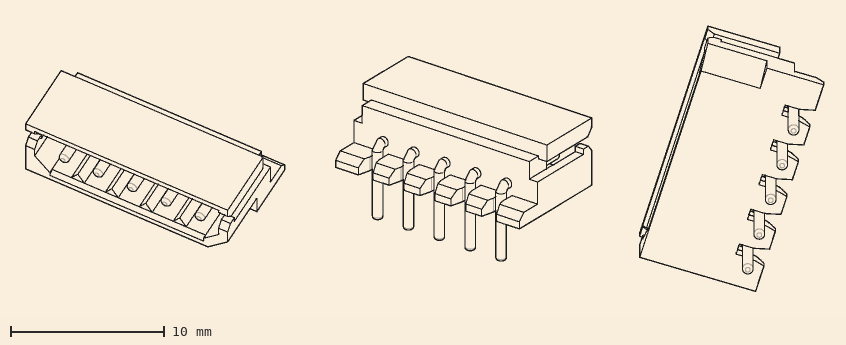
import cadquery as cq
import math


length = 14.9
depth = 7.9
wall_rear_y = 5.92
wall_front_y = 4.02
end_wall = 0.67
end_wall_height = 2.62
neck_height = 3.9
ledge_height = 1.01
ledge_chamfer = 0.49
key_chamfer = 1.46

floor_height = 0.73
cavity_bevel_width = 1.12
lip_bevel = 0.3

hook_height = 3.01
hook_depth = 0.92
hook_bevel_depth = 0.39
hook_bevel_height = 0.48

cover_top = 4.9
cover_depth = 4.9
cover_end_bottom = 3.7
cover_end_bevel_depth = 0.45
cover_end_bevel_height = 0.54
cover_bottom = 4.22
cover_front_bevel = 0.25

pin_count = 5
pin_pitch = 2.5
pin_diameter = 0.7
pin_axis_height = 1.82
pin_leg_y = 6.6
pin_front_y = 0.58
pin_bottom = -3.5
pin_tip_radius = 0.2

rib_width = 0.95
rib_height = 0.67

slot_width = 0.73
slot_mouth_width = 1.2
slot_taper_depth = 0.95

pin_radius = pin_diameter / 2
pin_positions = [length / 2 + (i - (pin_count - 1) / 2) * pin_pitch for i in range(pin_count)]
rib_positions = [x + pin_pitch / 2 for x in pin_positions[:-1]]


def block(x0, x1, y0, y1, z0, z1):
    """Box between two opposite corners."""
    return cq.Workplane("XY").box(x1 - x0, y1 - y0, z1 - z0, centered=False).translate((x0, y0, z0))


def side_profile(points, x0, x1):
    """Extrude a (y, z) outline from x0 to x1."""
    return cq.Workplane("YZ", origin=(x0, 0, 0)).polyline(points).close().extrude(x1 - x0)


def front_profile(points, y0, y1):
    """Extrude an (x, z) outline from y0 to y1."""
    return cq.Workplane("XZ", origin=(0, y0, 0)).polyline(points).close().extrude(y0 - y1)


def make_body():
    """Base with end walls, front hooks, rear ledge and the raised back wall."""
    base = side_profile(
        [
            (0, 0),
            (depth, 0),
            (depth, ledge_height - ledge_chamfer),
            (depth - ledge_chamfer, ledge_height),
            (wall_rear_y, ledge_height),
            (wall_rear_y, end_wall_height),
            (hook_depth, end_wall_height),
            (hook_depth, hook_height),
            (hook_bevel_depth, hook_height),
            (0, hook_height - hook_bevel_height),
        ],
        0,
        length,
    )
    neck = block(end_wall, length - end_wall, wall_front_y, wall_rear_y, 0, neck_height)
    return base.union(neck)


def make_cavity():
    """Space in front of the back wall, with its lower corners sloping in to the floor."""
    left = end_wall
    right = length - end_wall
    bevel_top = floor_height + cavity_bevel_width
    return front_profile(
        [
            (left + cavity_bevel_width, floor_height),
            (right - cavity_bevel_width, floor_height),
            (right, bevel_top),
            (right, hook_height),
            (left, hook_height),
            (left, bevel_top),
        ],
        0,
        wall_front_y,
    )


def make_lip_bevel():
    """Wedge removed from the front edge of the cavity floor."""
    inset = end_wall + cavity_bevel_width
    return side_profile(
        [(0, floor_height - lip_bevel), (lip_bevel, floor_height), (0, floor_height)],
        inset,
        length - inset,
    )


def make_key_bevel():
    """Wedge removed under the +X front corner, ending at the back wall."""
    return front_profile(
        [(length - key_chamfer, 0), (length, 0), (length, key_chamfer)], 0, wall_front_y
    )


def make_slot(x):
    """Slot through the ledge that widens towards the rear."""
    half = slot_width / 2
    mouth = slot_mouth_width / 2
    taper_y = depth - slot_taper_depth
    return (
        cq.Workplane("XY")
        .polyline(
            [
                (x - half, wall_rear_y),
                (x + half, wall_rear_y),
                (x + half, taper_y),
                (x + mouth, depth),
                (x - mouth, depth),
                (x - half, taper_y),
            ]
        )
        .close()
        .extrude(ledge_height)
    )


def make_rib(x):
    """Triangular rib along the cavity floor, from the lip to the back wall."""
    half = rib_width / 2
    return front_profile(
        [(x - half, floor_height), (x + half, floor_height), (x, floor_height + rib_height)],
        lip_bevel,
        wall_front_y,
    )


def make_cover():
    """Plate over the cavity, thinner between its end strips."""
    plate = side_profile(
        [
            (0, cover_top),
            (cover_depth, cover_top),
            (cover_depth, cover_end_bottom),
            (cover_end_bevel_depth, cover_end_bottom),
            (0, cover_end_bottom + cover_end_bevel_height),
        ],
        0,
        length,
    )
    recess = side_profile(
        [
            (0, cover_end_bottom),
            (wall_front_y, cover_end_bottom),
            (wall_front_y, cover_bottom),
            (cover_front_bevel, cover_bottom),
            (0, cover_bottom + cover_front_bevel),
        ],
        end_wall,
        length - end_wall,
    )
    return plate.cut(recess)


def make_pin(x):
    """Right-angle pin: a contact arm along Y, a mitred elbow and a leg down through the slot."""
    elbow_y = pin_leg_y - pin_radius
    elbow_z = pin_axis_height - pin_radius
    arm = (
        cq.Workplane("XZ", origin=(x, elbow_y, pin_axis_height))
        .circle(pin_radius)
        .extrude(elbow_y - pin_front_y)
        .faces("<Y")
        .edges()
        .fillet(pin_tip_radius)
    )
    leg = (
        cq.Workplane("XY", origin=(x, pin_leg_y, elbow_z))
        .circle(pin_radius)
        .extrude(pin_bottom - elbow_z)
        .faces("<Z")
        .edges()
        .fillet(pin_tip_radius)
    )
    slant = cq.Plane(origin=(x, pin_leg_y, elbow_z), xDir=(1, 0, 0), normal=(0, -1, 1))
    bar = (
        cq.Workplane(slant)
        .workplane(offset=-pin_diameter)
        .ellipse(pin_radius, pin_radius * math.sqrt(0.5))
        .extrude(3 * pin_diameter)
    )
    corner = block(
        x - pin_diameter, x + pin_diameter,
        elbow_y, elbow_y + pin_diameter,
        elbow_z, elbow_z + pin_diameter,
    )
    return arm.union(leg).union(bar.intersect(corner))


result = make_body().cut(make_cavity()).cut(make_lip_bevel()).cut(make_key_bevel())
for rib_x in rib_positions:
    result = result.union(make_rib(rib_x))
result = result.union(make_cover())
for pin_x in pin_positions:
    result = result.cut(make_slot(pin_x)).union(make_pin(pin_x))